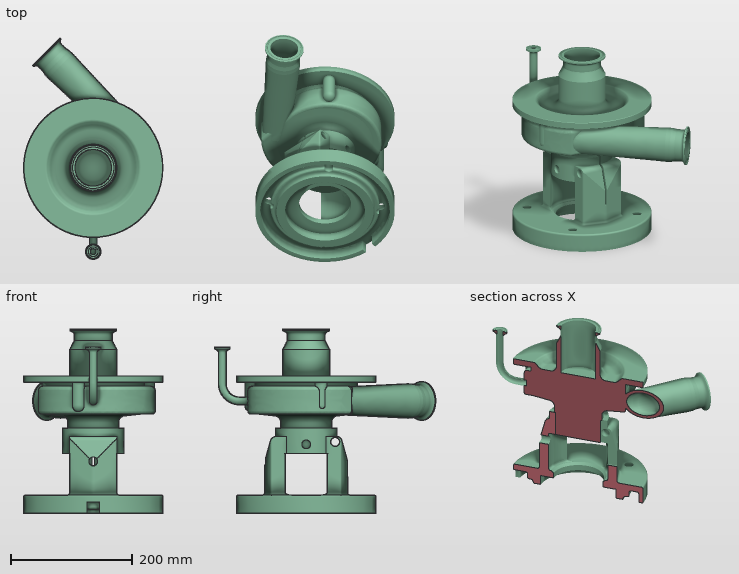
import cadquery as cq
import math

base_radius = 115.0
base_height = 30.0
base_edge_fillet = 3.0
base_bore_radius = 43.0
base_bore_chamfer = 4.0
mount_hole_radius = 7.5
mount_circle_radius = 92.0
mount_hole_count = 4

rim_thickness = 8.0
groove_roof = 18.7
groove_fillet = 3.3
hub_radius = 90.0
hub_bottom = 6.6
pilot_radius = 80.0
pilot_fillet = 4.4
counterbore_radius = 66.0
counterbore_top = 16.5
notch_width = 20.0
notch_corner_fillet = 2.0

leg_half_width = 39.0
leg_top = 127.0
leg_side_reach = 58.0
leg_ridge_reach = 69.0
leg_inner_radius = 52.0
leg_slope_start = 83.7
leg_slope_reach_at_top = 57.1
ridge_fillet = 11.0
leg_corner_fillet = 3.0
leg_top_fillet = 10.5
leg_foot_fillet = 4.0

ring_radius = 51.0
ring_bottom = 98.5
ring_top = 140.5
ring_bore_radius = 40.0
ring_side_hole_height = 113.6
cross_hole_radius = 7.2
leg_hole_height = 85.6
clamp_hole_radius = 7.2
clamp_hole_reach = 47.8
clamp_hole_height = 117.7
clamp_slot_width = 3.9
clamp_slot_bottom = 60.0

lower_neck_radius = 42.2
neck_flare_radius = 10.0
cone_small_radius = lower_neck_radius + neck_flare_radius
cone_bottom = 160.5
casing_bottom = 163.5
casing_top = 209.5
casing_bottom_fillet = 5.0
casing_top_fillet = 7.0
throat_radius = 84.3
volute_start_radius = throat_radius
volute_growth_per_turn = 24.1
volute_start_angle = 90.0
volute_end_angle = 405.0
volute_steps = 14

flange_radius = 115.0
flange_bottom = 215.7
flange_top = 226.7
flange_edge_chamfer = 0.6
recess_depth = 10.0
recess_top_radius = 77.0
recess_floor_radius = 67.0
recess_lip_fillet = 5.0
recess_floor_fillet = 10.5
inlet_root_fillet = 9.8

boss_radius = 10.0
boss_circle_radius = 94.5
boss_dome_height = 177.5
boss_angles = (15.0, 135.0, 255.0)

inlet_face = 303.5
inlet_pipe_radius = 39.0
inlet_neck_radius = 31.4
inlet_ferrule_radius = 38.75
inlet_bore_radius = 30.1
inlet_cone_bottom = 269.7
inlet_cone_top = 284.8

side_port_height = 185.2

outlet_direction = 135.0
outlet_offset = 80.5
outlet_face = 190.0
outlet_ferrule_radius = 32.0
outlet_neck_radius = 26.6
outlet_bore_radius = 23.0
outlet_neck_length = 17.7
outlet_swell_length = 25.4
outlet_swell_radius = 28.1
outlet_collar_length = 33.2
outlet_collar_radius = 28.5
outlet_root_radius = 23.0

drain_reach = 138.35
drain_face = 274.0
drain_start = 92.0
drain_radius = 6.5
drain_bore_radius = 4.9
drain_elbow_radius = 28.5
drain_ferrule_radius = 12.7

ferrule_rim = 2.2
ferrule_height = 9.5
ferrule_slope = 30.0
ferrule_root_fillet = 4.0
ferrule_groove_width = 2.8
ferrule_groove_inset = 3.2
small_ferrule_rim = 3.0

face_tolerance = 0.1


def disc(radius, bottom, top):
    return cq.Workplane("XY").workplane(offset=bottom).circle(radius).extrude(top - bottom)


def turned(points):
    return cq.Workplane("XZ").polyline(points).close().revolve(360, (0, 0, 0), (0, 1, 0))


def ferrule(rim_radius, neck_radius, face, rim):
    """Clamp ferrule about Z with its face at the given height and a ring groove in the face."""
    slope = math.radians(ferrule_slope)
    slope_end = face - rim - (rim_radius - neck_radius) * math.tan(slope)
    tangent = ferrule_root_fillet * math.tan((math.pi / 2 - slope) / 2)
    groove_radius = rim_radius - ferrule_groove_inset
    body = (
        cq.Workplane("XZ")
        .moveTo(0, face)
        .lineTo(rim_radius, face)
        .lineTo(rim_radius, face - rim)
        .lineTo(neck_radius + tangent * math.cos(slope), slope_end + tangent * math.sin(slope))
        .radiusArc((neck_radius, slope_end - tangent), -ferrule_root_fillet)
        .lineTo(neck_radius, face - ferrule_height)
        .lineTo(0, face - ferrule_height)
        .close()
        .revolve(360, (0, 0, 0), (0, 1, 0))
    )
    groove = (
        cq.Workplane("XZ")
        .center(groove_radius, face)
        .circle(ferrule_groove_width / 2)
        .revolve(360, (-groove_radius, 0, 0), (-groove_radius, 1, 0))
    )
    return body.cut(groove)


def make_groove():
    """Ring cut from below: rounded roof, hub wall stepping down to the pilot ring."""
    rim_inner_radius = base_radius - rim_thickness
    return (
        cq.Workplane("XZ")
        .moveTo(rim_inner_radius, 0)
        .lineTo(rim_inner_radius, groove_roof - groove_fillet)
        .radiusArc((rim_inner_radius - groove_fillet, groove_roof), -groove_fillet)
        .lineTo(hub_radius + groove_fillet, groove_roof)
        .radiusArc((hub_radius, groove_roof - groove_fillet), -groove_fillet)
        .lineTo(hub_radius, hub_bottom + groove_fillet)
        .radiusArc((hub_radius - groove_fillet, hub_bottom), groove_fillet)
        .lineTo(pilot_radius + pilot_fillet, hub_bottom)
        .radiusArc((pilot_radius, hub_bottom - pilot_fillet), -pilot_fillet)
        .lineTo(pilot_radius, 0)
        .close()
        .revolve(360, (0, 0, 0), (0, 1, 0))
    )


def make_bore():
    """Chamfered opening through the base with a wider counterbore from below."""
    return turned([
        (0, 0),
        (counterbore_radius, 0),
        (counterbore_radius, counterbore_top),
        (base_bore_radius, counterbore_top),
        (base_bore_radius, base_height - base_bore_chamfer),
        (base_bore_radius + base_bore_chamfer, base_height),
        (0, base_height),
    ])


def make_mount_holes():
    return (
        cq.Workplane("XY")
        .polarArray(mount_circle_radius, 45, 360, mount_hole_count)
        .circle(mount_hole_radius)
        .extrude(base_height)
    )


def make_notch():
    notch_length = (base_radius - hub_radius) / 2
    return (
        cq.Workplane("XY")
        .box(notch_width, notch_length, groove_roof, centered=(True, False, False))
        .edges("|Y and >Z")
        .fillet(notch_corner_fillet)
        .translate((0, -base_radius, 0))
    )


def make_leg():
    """Leg on the +Y side: ridged outer face, sloped near the top."""
    leg = (
        cq.Workplane("XY")
        .workplane(offset=base_height)
        .moveTo(-leg_half_width, 0)
        .lineTo(-leg_half_width, leg_side_reach)
        .lineTo(0, leg_ridge_reach)
        .lineTo(leg_half_width, leg_side_reach)
        .lineTo(leg_half_width, 0)
        .close()
        .extrude(leg_top - base_height)
    )
    leg = leg.edges("|Z and >Y").fillet(ridge_fillet)
    leg = leg.edges("|Z and (<X or >X)").edges(">Y").fillet(leg_corner_fillet)

    slope_cut = (
        cq.Workplane("YZ")
        .moveTo(leg_ridge_reach, leg_slope_start)
        .lineTo(leg_slope_reach_at_top, leg_top)
        .lineTo(leg_ridge_reach, leg_top)
        .close()
        .extrude(leg_half_width, both=True)
    )
    leg = leg.cut(slope_cut)
    leg = leg.faces(">Z").edges(">Y").fillet(leg_top_fillet)

    return leg.cut(disc(leg_inner_radius, base_height, ring_bottom))


def make_pedestal():
    leg = make_leg()
    ring_blank = disc(ring_radius, ring_bottom, ring_top).rotate((0, 0, 0), (0, 0, 1), 90)
    stand = leg.union(leg.rotate((0, 0, 0), (0, 0, 1), 180)).union(ring_blank)
    base = disc(base_radius, 0, base_height).faces(">Z").edges().fillet(base_edge_fillet)
    pedestal = base.union(stand)

    feet = cq.selectors.BoxSelector(
        (-leg_ridge_reach, -leg_ridge_reach, base_height - face_tolerance),
        (leg_ridge_reach, leg_ridge_reach, base_height + face_tolerance),
        boundingbox=True,
    )
    pedestal = pedestal.edges(feet).fillet(leg_foot_fillet)

    ring_bore = disc(ring_bore_radius, ring_bottom, ring_top)
    side_holes = (
        cq.Workplane("YZ")
        .center(0, ring_side_hole_height)
        .circle(cross_hole_radius)
        .extrude(leg_inner_radius, both=True)
    )
    front_leg_hole = (
        cq.Workplane("XZ").center(0, leg_hole_height).circle(cross_hole_radius).extrude(base_radius)
    )
    clamp_hole = (
        cq.Workplane("YZ")
        .center(clamp_hole_reach, clamp_hole_height)
        .circle(clamp_hole_radius)
        .extrude(base_radius, both=True)
    )
    clamp_slot = (
        cq.Workplane("XY")
        .box(clamp_slot_width, base_radius, ring_top - clamp_slot_bottom,
             centered=(True, False, False))
        .translate((0, 0, clamp_slot_bottom))
    )
    openings = (
        make_notch(),
        make_groove(),
        make_bore(),
        make_mount_holes(),
        ring_bore,
        side_holes,
        front_leg_hole,
        clamp_hole,
        clamp_slot,
    )
    for opening in openings:
        pedestal = pedestal.cut(opening)
    return pedestal


def volute_point(angle):
    turns = (angle - volute_start_angle) / 360
    radius = volute_start_radius + volute_growth_per_turn * turns
    return (radius * math.cos(math.radians(angle)), radius * math.sin(math.radians(angle)))


def volute_outline(bottom):
    """Spiral that widens towards the outlet, closed by a straight wall under the outlet pipe."""
    step = (volute_end_angle - volute_start_angle) / volute_steps
    points = [volute_point(volute_start_angle + step * i) for i in range(volute_steps + 1)]
    return cq.Workplane("XY").workplane(offset=bottom).spline(points).close()


def make_casing():
    casing = volute_outline(casing_bottom).extrude(casing_top - casing_bottom)
    casing = casing.faces("<Z").edges().fillet(casing_bottom_fillet)
    casing = casing.faces(">Z").edges().fillet(casing_top_fillet)
    throat = disc(throat_radius, casing_bottom + casing_bottom_fillet, flange_bottom)

    cone_large_radius = volute_start_radius - casing_bottom_fillet
    flare_bottom = cone_bottom - neck_flare_radius
    flare_mid = neck_flare_radius * (1 - math.sqrt(0.5))
    underside = (
        cq.Workplane("XZ")
        .moveTo(0, ring_top)
        .lineTo(lower_neck_radius, ring_top)
        .lineTo(lower_neck_radius, flare_bottom)
        .threePointArc(
            (lower_neck_radius + flare_mid, cone_bottom - flare_mid),
            (cone_small_radius, cone_bottom),
        )
        .lineTo(cone_large_radius, casing_bottom)
        .lineTo(0, casing_bottom)
        .close()
        .revolve(360, (0, 0, 0), (0, 1, 0))
    )
    spigot = disc(ring_bore_radius, ring_bottom, ring_top)
    return casing.union(throat).union(underside).union(spigot)


def make_flange():
    """Cover flange with the inlet pipe rising out of a rounded ring recess."""
    flange = disc(flange_radius, flange_bottom, flange_top).edges().chamfer(flange_edge_chamfer)
    flange = flange.union(disc(inlet_pipe_radius, flange_bottom, inlet_cone_bottom))

    recess_floor = flange_top - recess_depth
    wall_slope = (recess_top_radius - recess_floor_radius) / recess_depth
    cutter_height = 2 * recess_depth
    recess = turned([
        (inlet_pipe_radius, recess_floor),
        (recess_floor_radius, recess_floor),
        (recess_floor_radius + wall_slope * cutter_height, recess_floor + cutter_height),
        (inlet_pipe_radius, recess_floor + cutter_height),
    ])
    innermost = cq.selectors.RadiusNthSelector(0)
    outermost = cq.selectors.RadiusNthSelector(-1)
    recess = recess.faces("<Z").edges(outermost).fillet(recess_floor_fillet)
    recess = recess.faces("<Z").edges(innermost).fillet(inlet_root_fillet)
    flange = flange.cut(recess)
    flange_face = cq.selectors.BoxSelector(
        (-flange_radius, -flange_radius, flange_top - face_tolerance),
        (flange_radius, flange_radius, flange_top + face_tolerance),
        boundingbox=True,
    )
    return flange.edges(flange_face).edges(innermost).fillet(recess_lip_fillet)


def make_bosses():
    boss = disc(boss_radius, boss_dome_height, flange_bottom)
    boss = boss.union(cq.Workplane("XY").sphere(boss_radius).translate((0, 0, boss_dome_height)))
    boss = boss.translate((boss_circle_radius, 0, 0))
    bosses = cq.Workplane("XY")
    for angle in boss_angles:
        bosses = bosses.union(boss.rotate((0, 0, 0), (0, 0, 1), angle))
    return bosses


def make_inlet():
    reducer = turned([
        (0, inlet_cone_bottom),
        (inlet_pipe_radius, inlet_cone_bottom),
        (inlet_neck_radius, inlet_cone_top),
        (inlet_neck_radius, inlet_face - ferrule_height),
        (0, inlet_face - ferrule_height),
    ])
    return reducer.union(ferrule(inlet_ferrule_radius, inlet_neck_radius, inlet_face, ferrule_rim))


def place_outlet(shape):
    """Lay a shape built along +Z onto the outlet axis."""
    shape = shape.rotate((0, 0, 0), (0, 1, 0), 90)
    shape = shape.translate((0, -outlet_offset, side_port_height))
    return shape.rotate((0, 0, 0), (0, 0, 1), outlet_direction)


def make_outlet():
    pipe = turned([
        (0, 0),
        (outlet_root_radius, 0),
        (outlet_collar_radius, outlet_face - outlet_collar_length),
        (outlet_swell_radius, outlet_face - outlet_swell_length),
        (outlet_neck_radius, outlet_face - outlet_neck_length),
        (outlet_neck_radius, outlet_face - ferrule_height),
        (0, outlet_face - ferrule_height),
    ])
    pipe = pipe.union(ferrule(outlet_ferrule_radius, outlet_neck_radius, outlet_face, ferrule_rim))
    return place_outlet(pipe)


def make_outlet_bore():
    """Straight behind the ferrule, then tapering with the pipe down to the casing."""
    wall = outlet_collar_radius - outlet_bore_radius
    taper_start = outlet_face - outlet_collar_length
    return place_outlet(turned([
        (0, 0),
        (outlet_root_radius - wall, 0),
        (outlet_bore_radius, taper_start),
        (outlet_bore_radius, outlet_face),
        (0, outlet_face),
    ]))


def sweep_drain(radius):
    elbow_mid = drain_elbow_radius * math.sqrt(0.5)
    path = (
        cq.Workplane("YZ")
        .moveTo(-drain_start, side_port_height)
        .lineTo(drain_elbow_radius - drain_reach, side_port_height)
        .threePointArc(
            (drain_elbow_radius - drain_reach - elbow_mid, side_port_height + drain_elbow_radius - elbow_mid),
            (-drain_reach, side_port_height + drain_elbow_radius),
        )
        .lineTo(-drain_reach, drain_face)
    )
    return (
        cq.Workplane("XZ", origin=(0, -drain_start, side_port_height)).circle(radius).sweep(path)
    )


def make_drain():
    end = ferrule(drain_ferrule_radius, drain_radius, drain_face, small_ferrule_rim)
    return sweep_drain(drain_radius).union(end.translate((0, -drain_reach, 0)))


def make_pump():
    pump = make_casing()
    for piece in (make_flange(), make_bosses(), make_inlet(), make_outlet(), make_drain()):
        pump = pump.union(piece)
    inlet_bore = disc(inlet_bore_radius, flange_top - recess_depth, inlet_face)
    for bore in (inlet_bore, make_outlet_bore(), sweep_drain(drain_bore_radius)):
        pump = pump.cut(bore)
    return pump


pedestal = make_pedestal()
pump = make_pump()
result = cq.Compound.makeCompound([pedestal.val(), pump.val()])